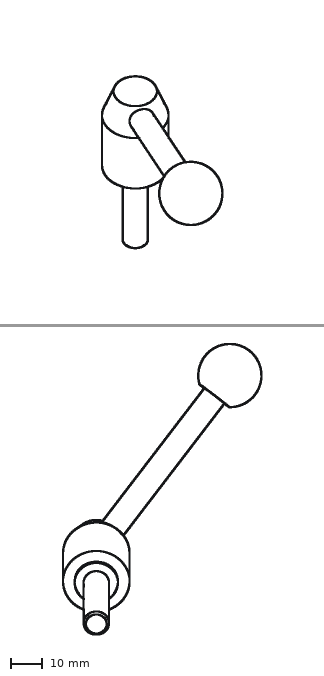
import cadquery as cq
import math

total_height = 90.85

stud_diameter = 8.0
stud_length = 32.0
stud_chamfer = 0.7
collar_diameter = 13.6
collar_height = 1.0

hub_diameter = 21.0
hub_top_diameter = 13.6
hub_cylinder_height = 22.0
hub_cone_height = 10.4

arm_diameter = 8.0
arm_angle = 20.0
ball_radius = 10.0
ball_flat_diameter = 12.0
ball_center_x = 65.0
ball_center_z = total_height - ball_radius

hub_bottom = stud_length + collar_height
cone_bottom = hub_bottom + hub_cylinder_height
hub_top = cone_bottom + hub_cone_height


def make_hub():
    """Stud, collar and hub as one turned body around Z."""
    stud_radius = stud_diameter / 2
    outline = [
        (0, 0),
        (stud_radius - stud_chamfer, 0),
        (stud_radius, stud_chamfer),
        (stud_radius, stud_length),
        (collar_diameter / 2, stud_length),
        (collar_diameter / 2, hub_bottom),
        (hub_diameter / 2, hub_bottom),
        (hub_diameter / 2, cone_bottom),
        (hub_top_diameter / 2, hub_top),
        (0, hub_top),
    ]
    return cq.Workplane("XZ").polyline(outline).close().revolve(360, (0, 0), (0, 1))


def make_handle():
    """Arm and flattened ball, turned around the inclined arm axis."""
    angle = math.radians(arm_angle)
    arm_length = ball_center_x / math.cos(angle)
    arm_radius = arm_diameter / 2
    flat_radius = ball_flat_diameter / 2
    flat_distance = math.sqrt(ball_radius**2 - flat_radius**2)

    axis_plane = cq.Plane(
        origin=(ball_center_x, 0, ball_center_z),
        xDir=(math.cos(angle), 0, math.sin(angle)),
        normal=(0, -1, 0),
    )
    return (
        cq.Workplane(axis_plane)
        .moveTo(-arm_length, 0)
        .lineTo(-arm_length, arm_radius)
        .lineTo(-flat_distance, arm_radius)
        .lineTo(-flat_distance, flat_radius)
        .threePointArc((0, ball_radius), (ball_radius, 0))
        .close()
        .revolve(360, (0, 0), (1, 0))
    )


result = make_hub().union(make_handle())